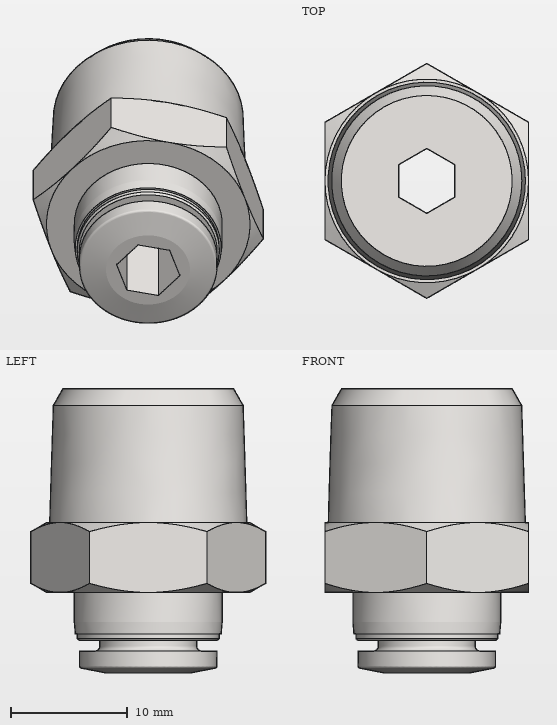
import cadquery as cq
import math

total_height = 24.4
hex_bottom = 6.92
hex_height = 6.0
hex_top = hex_bottom + hex_height

corners_per_flats = 1 / math.cos(math.radians(30))

hex_flats = 17.46
hex_corners = hex_flats * corners_per_flats
hex_chamfer_angle = 30.0

taper_ratio = 1 / 16
thread_base_diameter = 16.93
thread_chamfer_height = 1.45
thread_top_diameter = 14.65
thread_chamfer_bottom = total_height - thread_chamfer_height
thread_end_diameter = thread_base_diameter - taper_ratio * (thread_chamfer_bottom - hex_top)

collar_diameter = 12.7
collar_rim_bottom = 3.36
collar_taper_top = 4.35
collar_taper_angle = 5.0
collar_taper_drop = (collar_taper_top - collar_rim_bottom) * math.tan(math.radians(collar_taper_angle))
lip_diameter = 12.2
lip_bottom = 2.8
lip_chamfer = 0.18

neck_diameter = 8.35
neck_fillet = 0.4
button_diameter = 11.8
button_top = 1.9
button_bottom_edge = 0.45
button_face_diameter = 7.2
button_edge_fillet = 0.2

socket_flats = 4.8
socket_corners = socket_flats * corners_per_flats


def upright_hexagon(corner_diameter, bottom, height):
    """Hexagonal prism with two corners on the Y axis."""
    profile = cq.Workplane("XY").workplane(offset=bottom).transformed(rotate=(0, 0, 90))
    return profile.polygon(6, corner_diameter).extrude(height)


def revolve_around_axis(half_profile):
    """Turn a closed radius-height profile around the Z axis."""
    return half_profile.revolve(360, (0, 0, 0), (0, 1, 0))


def disc(diameter, bottom, top):
    """Round disc centred on the Z axis between two heights."""
    return cq.Workplane("XY").workplane(offset=bottom).circle(diameter / 2).extrude(top - bottom)


def make_wrench_hexagon():
    """Hexagonal prism with its corners cut conically at both ends."""
    flat_radius = hex_flats / 2
    corner_radius = hex_corners / 2
    corner_drop = (corner_radius - flat_radius) * math.tan(math.radians(hex_chamfer_angle))
    profile = (
        cq.Workplane("XZ")
        .moveTo(0, hex_bottom)
        .lineTo(flat_radius, hex_bottom)
        .lineTo(corner_radius, hex_bottom + corner_drop)
        .lineTo(corner_radius, hex_top - corner_drop)
        .lineTo(flat_radius, hex_top)
        .lineTo(0, hex_top)
        .close()
    )
    envelope = revolve_around_axis(profile)
    return upright_hexagon(hex_corners, hex_bottom, hex_height).intersect(envelope)


def make_threaded_end():
    """Plain tapered body with a lead-in chamfer at the top."""
    profile = (
        cq.Workplane("XZ")
        .moveTo(0, hex_top)
        .lineTo(thread_base_diameter / 2, hex_top)
        .lineTo(thread_end_diameter / 2, thread_chamfer_bottom)
        .lineTo(thread_top_diameter / 2, total_height)
        .lineTo(0, total_height)
        .close()
    )
    return revolve_around_axis(profile)


def make_collar():
    """Collar tapering slightly to its lower rim, with a smaller chamfered lip under it."""
    straight = disc(collar_diameter, collar_taper_top, hex_bottom)
    profile = (
        cq.Workplane("XZ")
        .moveTo(0, collar_rim_bottom)
        .lineTo(collar_diameter / 2 - collar_taper_drop, collar_rim_bottom)
        .lineTo(collar_diameter / 2, collar_taper_top)
        .lineTo(0, collar_taper_top)
        .close()
    )
    taper = revolve_around_axis(profile)
    lip = disc(lip_diameter, lip_bottom, collar_rim_bottom).faces("<Z").chamfer(lip_chamfer)
    return straight.union(taper).union(lip)


def make_release_button():
    """Button with a shallow conical bottom, joined to the collar by a filleted neck."""
    profile = (
        cq.Workplane("XZ")
        .lineTo(button_face_diameter / 2, 0)
        .lineTo(button_diameter / 2, button_bottom_edge)
        .lineTo(button_diameter / 2, button_top)
        .lineTo(neck_diameter / 2 + neck_fillet, button_top)
        .radiusArc((neck_diameter / 2, button_top + neck_fillet), neck_fillet)
        .lineTo(neck_diameter / 2, lip_bottom)
        .lineTo(0, lip_bottom)
        .close()
    )
    button = revolve_around_axis(profile)
    largest_circles = button.edges("%CIRCLE").edges(cq.selectors.RadiusNthSelector(-1))
    return largest_circles.edges("<Z").fillet(button_edge_fillet)


body = make_wrench_hexagon().union(make_threaded_end()).union(make_collar()).union(make_release_button())
result = body.cut(upright_hexagon(socket_corners, 0, total_height))